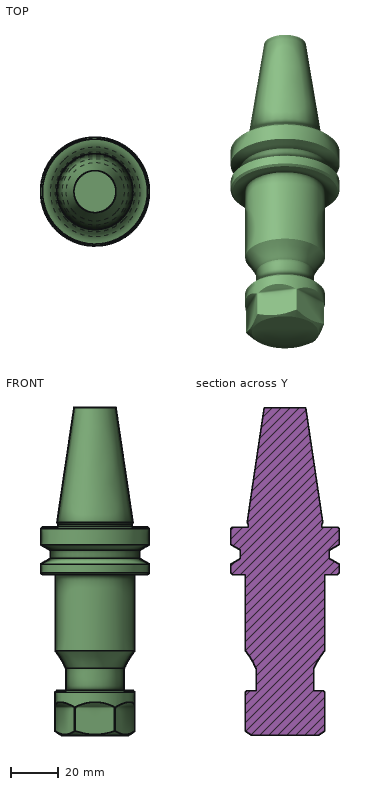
import cadquery as cq
import math

total_height = 138.4
gauge_z = 90.0
flange_top_z = 88.0
groove_top_z = 78.2
groove_bottom_z = 74.7
flange_bottom_z = 67.8
body_bottom_z = 35.8
neck_top_z = 28.4
nut_top_z = 19.1

taper_top_diameter = 17.7
taper_base_diameter = 32.1
relief_diameter = 31.3
flange_diameter = 46.0
groove_diameter = 37.8
body_diameter = 33.6
neck_diameter = 24.6
nut_diameter = 33.8
nut_face_diameter = 28.0

relief_taper_height = 0.8
shoulder_hollow = 0.3
flange_chamfer = 0.8
groove_wall_angle = 30.0
nut_top_chamfer = 0.8
nut_bottom_chamfer_height = 2.0

flat_count = 6
across_flats = 29.5
flat_top_z = 12.0
flat_fillet = 1.0
run_out_angle = 45.0


def make_holder():
    """Taper, grooved flange, body and neck, turned about Z."""
    flange_radius = flange_diameter / 2
    groove_radius = groove_diameter / 2
    wall_height = (flange_radius - groove_radius) * math.tan(math.radians(groove_wall_angle))
    neck_radius = neck_diameter / 2
    body_radius = body_diameter / 2
    shoulder_width = body_radius - neck_radius
    shoulder_height = body_bottom_z - neck_top_z
    shoulder_length = math.hypot(shoulder_width, shoulder_height)
    shoulder_middle = (
        (neck_radius + body_radius) / 2 - shoulder_hollow * shoulder_height / shoulder_length,
        (neck_top_z + body_bottom_z) / 2 + shoulder_hollow * shoulder_width / shoulder_length,
    )
    upper_profile = [
        (body_radius, flange_bottom_z),
        (flange_radius - flange_chamfer, flange_bottom_z),
        (flange_radius, flange_bottom_z + flange_chamfer),
        (flange_radius, groove_bottom_z - wall_height),
        (groove_radius, groove_bottom_z),
        (groove_radius, groove_top_z),
        (flange_radius, groove_top_z + wall_height),
        (flange_radius, flange_top_z - flange_chamfer),
        (flange_radius - flange_chamfer, flange_top_z),
        (relief_diameter / 2, flange_top_z),
        (relief_diameter / 2, gauge_z - relief_taper_height),
        (taper_base_diameter / 2, gauge_z),
        (taper_top_diameter / 2, total_height),
        (0, total_height),
    ]
    outline = (
        cq.Workplane("XZ")
        .moveTo(0, nut_top_z)
        .lineTo(neck_radius, nut_top_z)
        .lineTo(neck_radius, neck_top_z)
        .threePointArc(shoulder_middle, (body_radius, body_bottom_z))
    )
    for radius, height in upper_profile:
        outline = outline.lineTo(radius, height)
    return outline.close().revolve(360, (0, 0), (0, 1))


def make_nut_blank():
    """Round nut, chamfered at both ends."""
    radius = nut_diameter / 2
    profile = [
        (0, 0),
        (nut_face_diameter / 2, 0),
        (radius, nut_bottom_chamfer_height),
        (radius, nut_top_z - nut_top_chamfer),
        (radius - nut_top_chamfer, nut_top_z),
        (0, nut_top_z),
    ]
    return cq.Workplane("XZ").polyline(profile).close().revolve(360, (0, 0), (0, 1))


def make_flat_cutter():
    """Cutter for the flat facing +Y: a vertical face that fillets into a sloped run-out."""
    flat_y = across_flats / 2
    reach = nut_diameter - flat_y
    width = 2 * nut_diameter
    slope = math.radians(run_out_angle)
    bisector = slope / 2
    tangent = flat_fillet * math.tan(bisector)
    fillet_end = (flat_y + tangent * math.sin(slope), flat_top_z + tangent * math.cos(slope))
    arc_middle = (
        flat_y + flat_fillet * (1 - math.cos(bisector)),
        flat_top_z - tangent + flat_fillet * math.sin(bisector),
    )
    return (
        cq.Workplane("YZ", origin=(-width / 2, 0, 0))
        .moveTo(flat_y, 0)
        .lineTo(flat_y, flat_top_z - tangent)
        .threePointArc(arc_middle, fillet_end)
        .lineTo(flat_y + reach, flat_top_z + reach / math.tan(slope))
        .lineTo(flat_y + reach, 0)
        .close()
        .extrude(width)
    )


def make_nut():
    """Clamping nut with evenly spaced wrench flats."""
    nut = make_nut_blank()
    cutter = make_flat_cutter()
    for index in range(flat_count):
        angle = index * 360 / flat_count
        nut = nut.cut(cutter.rotate((0, 0, 0), (0, 0, 1), angle))
    return nut


result = make_holder().union(make_nut())